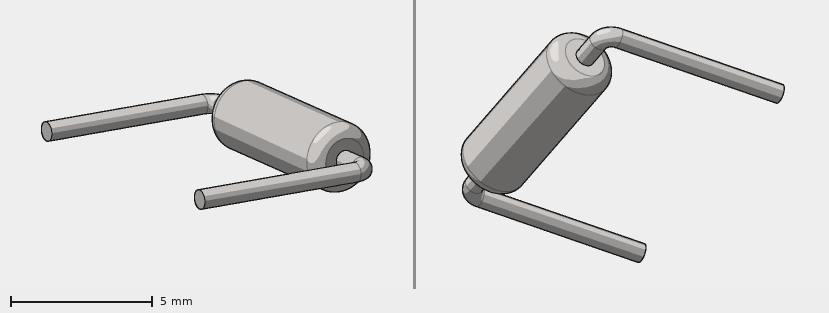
import cadquery as cq

overall_width = 10.86
overall_depth = 8.28
body_diameter = 2.55
body_length = 7.12
body_edge_radius = 0.49
lead_diameter = 0.71
bend_radius = 0.5

lead_spacing = overall_width - lead_diameter
lead_tip_y = body_diameter / 2 - overall_depth


def make_body():
    """Cylinder along X, centred on the origin with both rims rounded."""
    end_plane = cq.Workplane("YZ", origin=(-body_length / 2, 0, 0))
    cylinder = end_plane.circle(body_diameter / 2).extrude(body_length)
    return cylinder.edges("%CIRCLE").fillet(body_edge_radius)


def make_leads():
    """One continuous wire through the body, bent toward -Y at each end."""
    leg_x = lead_spacing / 2
    bend_start_x = leg_x - bend_radius
    path = (
        cq.Workplane("XY")
        .moveTo(-leg_x, lead_tip_y)
        .lineTo(-leg_x, -bend_radius)
        .radiusArc((-bend_start_x, 0), bend_radius)
        .lineTo(bend_start_x, 0)
        .radiusArc((leg_x, -bend_radius), bend_radius)
        .lineTo(leg_x, lead_tip_y)
    )
    profile = cq.Workplane("XZ", origin=(-leg_x, lead_tip_y, 0)).circle(lead_diameter / 2)
    return profile.sweep(path)


result = make_body().union(make_leads())